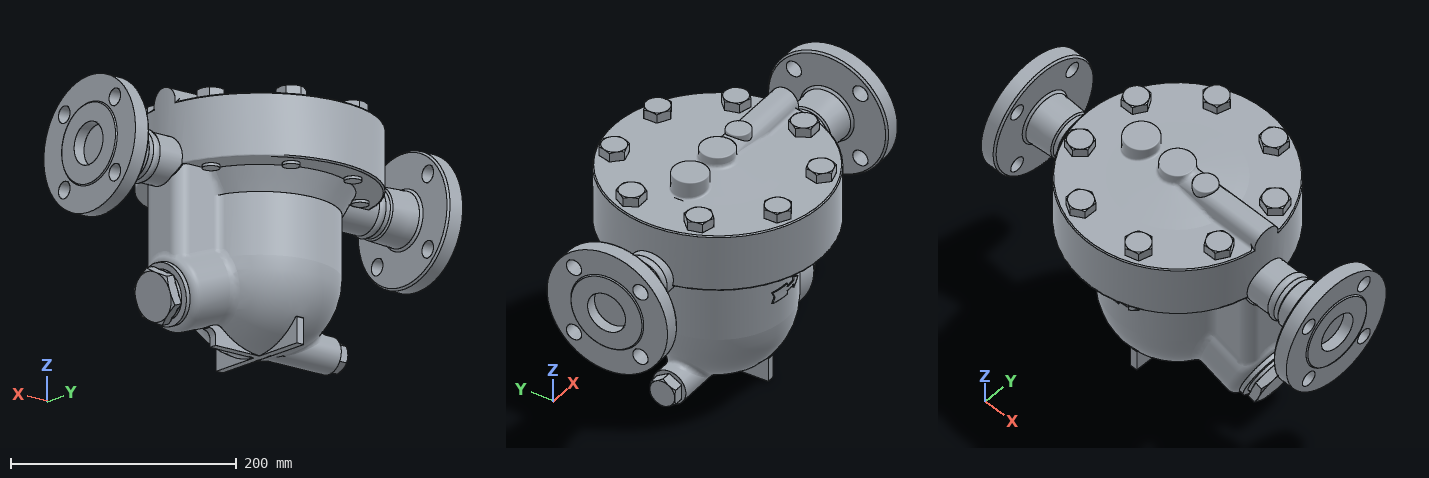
import cadquery as cq
import math


cover_diameter = 222.0
joint_bottom = 153.0
cover_top = 212.5
cover_edge_chamfer = 1.0
joint_bottom_round = 1.5
bolt_count = 8
bolt_circle_radius = 93.0
bolt_head_flats = 24.0
bolt_head_height = 10.0
bolt_head_chamfer = 0.95
bolt_end_diameter = 16.0
bolt_end_length = 2.5

top_of_bosses = 231.0
dome_foot_radius = 64.0
dome_blend_radius = 53.2
dome_blend_top = 214.5
dome_top = 220.0
center_boss_diameter = 34.0
side_boss_diameter = 35.0
side_boss_x = -45.0
small_boss_diameter = 24.0
small_boss_x = 34.5
boss_edge_round = 1.0
center_foot_round = 4.0
side_foot_round = 2.3
duct_radius = 15.0
duct_top = 228.8
duct_foot_round = 4.5
locating_pin_diameter = 5.7
locating_pin_z = 214.7
locating_pin_end = 114.5
locating_pin_length = 11.5
locating_pin_round = 2.0

bowl_radius = 73.0
neck_bottom = 132.0
neck_top_radius = 85.0

channel_reach = 114.5
channel_half_width = 26.0
channel_corner_radius = 12.5
channel_top_reach = 108.3
channel_slope_bottom = 142.0

strainer_tilt = 20
strainer_face_x = 123.0
strainer_face_z = 32.3
strainer_diameter = 72.2
strainer_edge_round = 8.7
strainer_root_round = 9.0
strainer_root_depth = 98.8
strainer_end = 17.5
plug_collar_diameter = 58.0
plug_collar_end = 13.0
plug_neck_diameter = 46.0
plug_hex_flats = 46.0
plug_hex_height = 9.5
plug_hex_chamfer = 1.5

drain_diameter = 35.0
drain_end_x = -79.5
drain_root_round = 5.5
drain_root_bottom = 3.0
drain_hex_flats = 26.2
drain_hex_height = 11.5
drain_hex_chamfer = 1.5

arrow_z = 106.0
arrow_tail_x = -20.5
arrow_shaft_x = -0.8
arrow_head_x = 10.5
arrow_tip_x = 21.0
arrow_half_width = 5.7
arrow_shaft_half_width = 2.1
arrow_notch = 2.5
arrow_height = 1.0

foot_thickness = 8.0
foot_half_length = 56.0
foot_height = 24.7
web_end_x = 54.5
web_step_z = 8.0
web_arc_radius = 7.2

inlet_face_x = -182.5
outlet_face_x = 197.5
pipe_z = 160.0
pipe_flange_diameter = 127.0
pipe_flange_chamfer = 2.0
pipe_flange_back = 18.0
raised_face_diameter = 76.8
raised_face_height = 1.0
hub_root_round = 2.3
hub_root_radius = 26.2
hub_end_radius = 24.7
hub_end = 49.5
hub_step_end = 51.0
pipe_diameter = 46.0
weld_ring_diameter = 49.5
weld_ring_start = 56.0
weld_ring_end = 63.5
bore_diameter = 40.0
bore_depth = 11.5
pipe_bolt_hole_diameter = 16.0
pipe_bolt_hole_offset = 35.0


def upright_cylinder(diameter, bottom, top, x=0.0):
    return cq.Workplane("XY", origin=(x, 0, bottom)).circle(diameter / 2).extrude(top - bottom)


def hex_head(flats, height, chamfer):
    """Hexagon standing on XY with its top corners turned down to a cone; one corner lies on X."""
    corners = flats / math.cos(math.pi / 6)
    turned = cq.Workplane("XY").circle(corners / 2).extrude(height)
    turned = turned.faces(">Z").chamfer(chamfer, (corners - flats) / 2)
    return cq.Workplane("XY").polygon(6, corners).extrude(height).intersect(turned)


tilt = math.radians(strainer_tilt)
strainer_axis = cq.Vector(math.cos(tilt), 0, -math.sin(tilt))
strainer_normal = cq.Vector(math.sin(tilt), 0, math.cos(tilt))
strainer_face = cq.Vector(strainer_face_x, 0, strainer_face_z)


def strainer_point(along, across):
    point = strainer_face + strainer_axis * along + strainer_normal * across
    return point.x, point.z


def strainer_plane(depth):
    origin = strainer_face - strainer_axis * depth
    return cq.Plane(origin=origin, xDir=strainer_normal, normal=strainer_axis)


def make_bowl():
    neck = joint_bottom
    return (
        cq.Workplane("XZ")
        .moveTo(0, 0)
        .radiusArc((bowl_radius, bowl_radius), -bowl_radius)
        .lineTo(bowl_radius, neck_bottom)
        .lineTo(neck_top_radius, neck)
        .lineTo(0, neck)
        .close()
        .revolve(360, (0, 0, 0), (0, 1, 0))
    )


def make_channel():
    across = (channel_reach - strainer_face_x + strainer_end * math.cos(tilt)) / math.sin(tilt)
    outer_bottom = strainer_point(-strainer_end, across)
    inner_bottom = strainer_point(-strainer_root_depth, across)
    side = (
        cq.Workplane("XZ", origin=(0, channel_half_width, 0))
        .moveTo(0, joint_bottom)
        .lineTo(channel_top_reach, joint_bottom)
        .lineTo(channel_reach, channel_slope_bottom)
        .lineTo(*outer_bottom)
        .lineTo(*inner_bottom)
        .lineTo(0, inner_bottom[1])
        .close()
        .extrude(2 * channel_half_width)
    )
    plan = (
        cq.Workplane("XY")
        .rect(2 * channel_reach, 2 * channel_half_width)
        .extrude(joint_bottom)
        .edges("|Z")
        .fillet(channel_corner_radius)
    )
    return side.intersect(plan)


def make_strainer_boss():
    return (
        cq.Workplane(strainer_plane(strainer_root_depth))
        .circle(strainer_diameter / 2)
        .extrude(strainer_root_depth - strainer_end)
        .faces(cq.selectors.DirectionMinMaxSelector(strainer_axis))
        .edges()
        .fillet(strainer_edge_round)
    )


def make_drain_boss():
    return (
        cq.Workplane("YZ", origin=(drain_end_x, 0, drain_diameter / 2))
        .circle(drain_diameter / 2)
        .extrude(-drain_end_x)
    )


def make_drain_junction():
    """Slice of bowl and drain boss with a rounded junction, kept above the line where they are tangent."""
    slab = upright_cylinder(4 * bowl_radius, drain_root_bottom, 0.9 * bowl_radius)
    slab = make_bowl().union(make_drain_boss()).intersect(slab)
    junction = cq.selectors.BoxSelector(
        (drain_end_x + 3.8, -drain_diameter / 2, drain_root_bottom + 0.5),
        (-3.8, drain_diameter / 2, drain_diameter),
    )
    return slab.edges(junction).edges("%BSPLINE").fillet(drain_root_round)


def make_body():
    """Bowl, channel and strainer boss with rounded junctions, plus the drain boss."""
    casting = make_bowl().union(make_channel()).union(make_strainer_boss())
    junctions = cq.selectors.BoxSelector(
        (bowl_radius / 4, -strainer_diameter / 2, 0),
        (strainer_face_x - strainer_end - strainer_edge_round, strainer_diameter / 2, joint_bottom - 0.5),
    )
    casting = casting.edges(junctions).fillet(strainer_root_round)
    return casting.union(make_drain_boss()).union(make_drain_junction())


def make_arrow():
    upper = [
        (arrow_tail_x, arrow_half_width),
        (arrow_shaft_x, arrow_half_width),
        (arrow_shaft_x, arrow_shaft_half_width),
        (arrow_head_x, arrow_shaft_half_width),
        (arrow_head_x, arrow_half_width),
    ]
    lower = [(x, -z) for x, z in reversed(upper)]
    arrow = (
        cq.Workplane("XZ", origin=(0, 0, arrow_z))
        .polyline(upper + [(arrow_tip_x, 0)] + lower + [(arrow_tail_x + arrow_notch, 0)])
        .close()
        .extrude(2 * bowl_radius)
    )
    shell = upright_cylinder(2 * (bowl_radius + arrow_height), bowl_radius, neck_bottom)
    core = upright_cylinder(bowl_radius, bowl_radius, neck_bottom)
    return arrow.intersect(shell).cut(core)


def make_feet():
    crosswise = cq.Workplane("XY").rect(foot_thickness, 2 * foot_half_length).extrude(foot_height)
    arc_end = (web_end_x + web_arc_radius, web_step_z + web_arc_radius)
    lengthwise = (
        cq.Workplane("XZ", origin=(0, foot_thickness / 2, 0))
        .moveTo(0, 0)
        .lineTo(web_end_x, 0)
        .lineTo(web_end_x, web_step_z)
        .radiusArc(arc_end, web_arc_radius)
        .lineTo(arc_end[0], foot_height)
        .lineTo(0, foot_height)
        .close()
        .extrude(foot_thickness)
    )
    return crosswise.union(lengthwise)


def make_strainer_plug():
    collar = (
        cq.Workplane(strainer_plane(strainer_end))
        .circle(plug_collar_diameter / 2)
        .extrude(strainer_end - plug_collar_end)
    )
    neck = (
        cq.Workplane(strainer_plane(strainer_end))
        .circle(plug_neck_diameter / 2)
        .extrude(strainer_end - plug_hex_height)
    )
    head = hex_head(plug_hex_flats, plug_hex_height, plug_hex_chamfer).val()
    return collar.union(neck).add(head.moved(cq.Location(strainer_plane(plug_hex_height)))).combine()


def make_drain_plug():
    seat = cq.Plane(origin=(drain_end_x, 0, drain_diameter / 2), xDir=(0, 0, 1), normal=(-1, 0, 0))
    head = hex_head(drain_hex_flats, drain_hex_height, drain_hex_chamfer).val()
    return cq.Workplane(head.moved(cq.Location(seat)))


def make_joint():
    """Plain bolted flange; its seam is turned away from the duct."""
    joint = upright_cylinder(cover_diameter, joint_bottom, cover_top)
    joint = joint.faces(">Z").chamfer(cover_edge_chamfer)
    joint = joint.faces("<Z").edges().fillet(joint_bottom_round)
    return joint.rotate((0, 0, 0), (0, 0, 1), 90)


def make_bolts():
    """Hexagon heads on the cover and the bolt ends under the joint."""
    head = hex_head(bolt_head_flats, bolt_head_height, bolt_head_chamfer).translate((0, 0, cover_top))
    end = upright_cylinder(bolt_end_diameter, joint_bottom - bolt_end_length, cover_top)
    bolt = head.union(end).translate((bolt_circle_radius, 0, 0))
    pitch = 360 / bolt_count
    bolts = cq.Workplane("XY")
    for index in range(bolt_count):
        turned = bolt.rotate((bolt_circle_radius, 0, 0), (bolt_circle_radius, 0, 1), pitch / 2)
        bolts.add(turned.rotate((0, 0, 0), (0, 0, 1), (index - 0.5) * pitch))
    return bolts


def make_dome():
    return (
        cq.Workplane("XZ")
        .moveTo(0, joint_bottom)
        .lineTo(dome_foot_radius, joint_bottom)
        .lineTo(dome_foot_radius, cover_top)
        .lineTo(dome_blend_radius, dome_blend_top)
        .lineTo(center_boss_diameter / 2, dome_top)
        .lineTo(0, dome_top)
        .close()
        .revolve(360, (0, 0, 0), (0, 1, 0))
    )


def make_duct():
    duct = (
        cq.Workplane("YZ", origin=(0, 0, duct_top - duct_radius))
        .circle(duct_radius)
        .extrude(cover_diameter / 2)
    )
    return duct.intersect(upright_cylinder(cover_diameter, joint_bottom, top_of_bosses))


def make_locating_pin():
    return (
        cq.Workplane("YZ", origin=(locating_pin_end, 0, locating_pin_z))
        .circle(locating_pin_diameter / 2)
        .extrude(-locating_pin_length)
        .faces(">X")
        .edges()
        .fillet(locating_pin_round)
    )


def make_cover_boss(diameter, x):
    boss = upright_cylinder(diameter, joint_bottom, top_of_bosses, x)
    return boss.faces(">Z").edges().fillet(boss_edge_round)


def make_cover():
    """Joint and dome, with the bosses and the duct rounded into the dome."""
    cover = make_joint().union(make_dome())
    cover = cover.union(make_cover_boss(center_boss_diameter, 0))
    reach = center_boss_diameter / 2 + 0.5
    center_foot = cq.selectors.BoxSelector((-reach, -reach, dome_top - 0.5), (reach, reach, dome_top + 0.5), True)
    cover = cover.edges(center_foot).fillet(center_foot_round)

    cover = cover.union(make_cover_boss(side_boss_diameter, side_boss_x))
    reach = side_boss_diameter / 2 + 0.5
    side_foot = cq.selectors.BoxSelector(
        (side_boss_x - reach, -reach, cover_top - 0.5), (side_boss_x + reach, reach, dome_top), True
    )
    cover = cover.edges(side_foot).fillet(side_foot_round)

    cover = cover.union(make_duct())
    reach = duct_radius + 0.5
    duct_foot = cq.selectors.BoxSelector(
        (center_boss_diameter / 2, -reach, cover_top - 1.0), (cover_diameter / 2 , reach, dome_top), True
    )
    cover = cover.edges(duct_foot).fillet(duct_foot_round)
    cover = cover.union(make_cover_boss(small_boss_diameter, small_boss_x))
    return cover.union(make_locating_pin())


def make_pipe(face_x):
    """Flanged pipe with a weld ring from the given face to the middle of the vessel."""
    length = abs(face_x)
    outline = [
        (0, 0),
        (raised_face_diameter / 2 - raised_face_height, 0),
        (raised_face_diameter / 2, raised_face_height),
        (pipe_flange_diameter / 2, raised_face_height),
        (pipe_flange_diameter / 2, pipe_flange_back - pipe_flange_chamfer),
        (pipe_flange_diameter / 2 - pipe_flange_chamfer, pipe_flange_back),
        (hub_root_radius + hub_root_round, pipe_flange_back),
        (hub_root_radius, pipe_flange_back + hub_root_round),
        (hub_end_radius, hub_end),
        (pipe_diameter / 2, hub_step_end),
        (pipe_diameter / 2, weld_ring_start),
    ]
    ring_middle = (weld_ring_diameter / 2, (weld_ring_start + weld_ring_end) / 2)
    pipe = (
        cq.Workplane("XY")
        .polyline(outline)
        .threePointArc(ring_middle, (pipe_diameter / 2, weld_ring_end))
        .lineTo(pipe_diameter / 2, length)
        .lineTo(0, length)
        .close()
        .revolve(360, (0, 0, 0), (0, 1, 0))
    )
    bore = cq.Workplane("XZ").circle(bore_diameter / 2).extrude(-bore_depth)
    holes = (
        cq.Workplane("XZ")
        .rect(2 * pipe_bolt_hole_offset, 2 * pipe_bolt_hole_offset, forConstruction=True)
        .vertices()
        .circle(pipe_bolt_hole_diameter / 2)
        .extrude(-pipe_flange_back)
    )
    pipe = pipe.cut(bore).cut(holes)
    turn = 90 if face_x > 0 else -90
    return pipe.rotate((0, 0, 0), (0, 0, 1), turn).translate((face_x, 0, pipe_z))


result = make_body()
for feature in (
    make_arrow(),
    make_feet(),
    make_strainer_plug(),
    make_drain_plug(),
    make_cover(),
    make_pipe(inlet_face_x),
    make_pipe(outlet_face_x),
):
    result = result.union(feature)
for bolt in make_bolts().vals():
    result = result.union(cq.Workplane(bolt))